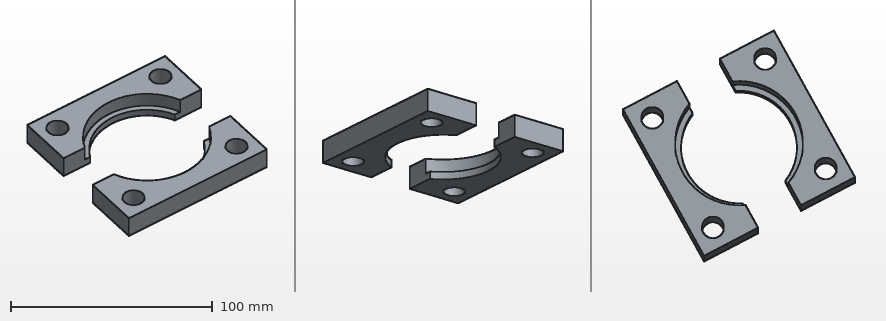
import cadquery as cq

side = 85.0
thickness = 12.0
gap = 24.1

seat_diameter = 63.5
lip_diameter = 57.5
lip_height = 4.0

hole_diameter = 11.0
hole_spacing = 63.5

half_width = (side - gap) / 2


def flange_half(direction):
    """Build the half on the -X side (direction -1) or the +X side (direction +1)."""
    centre_x = direction * (gap + half_width) / 2
    block = (
        cq.Workplane("XY")
        .center(centre_x, 0)
        .rect(half_width, side)
        .extrude(thickness)
    )
    through_bore = cq.Workplane("XY").circle(lip_diameter / 2).extrude(thickness)
    seat = (
        cq.Workplane("XY")
        .workplane(offset=lip_height)
        .circle(seat_diameter / 2)
        .extrude(thickness - lip_height)
    )
    hole_x = direction * hole_spacing / 2
    bolt_holes = (
        cq.Workplane("XY")
        .pushPoints([(hole_x, -hole_spacing / 2), (hole_x, hole_spacing / 2)])
        .circle(hole_diameter / 2)
        .extrude(thickness)
    )
    return block.cut(through_bore).cut(seat).cut(bolt_holes)


flange_halves = [flange_half(direction) for direction in (-1, 1)]

result = cq.Compound.makeCompound([half.val() for half in flange_halves])